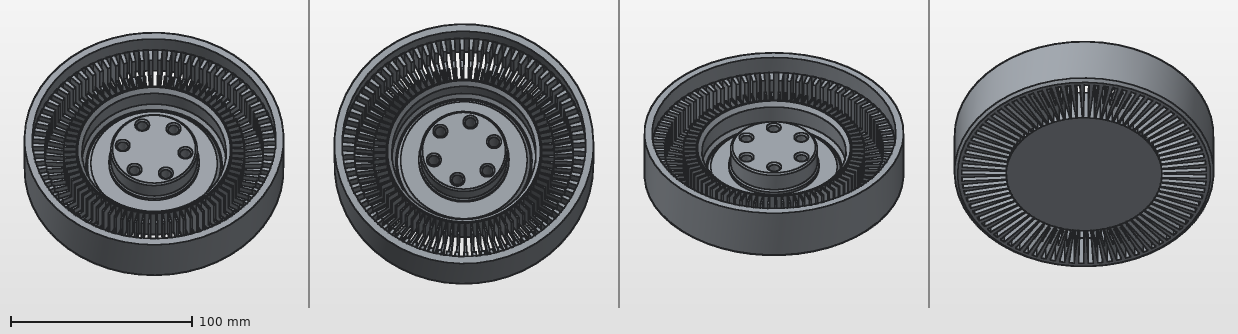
import cadquery as cq

outer_radius = 71.5
height = 31.0
bottom_chamfer = 1.7
rim_inner_radius = 67.2

web_top = 20.3
channel_floor = 5.5
channel_outer_radius = 60.3
channel_inner_radius = 49.9
slot_count = 80
slot_width = 2.7
slot_inner_radius = 42.9
slot_outer_radius = 67.5

ring_edge_radius = 42.2
recess_radius = 39.8
recess_top_chamfer = ring_edge_radius - recess_radius
groove_outer_radius = 37.6
recess_foot_chamfer = recess_radius - groove_outer_radius
groove_floor = channel_floor

plate_foot_radius = 36.8
plate_radius = 34.9
plate_bevel = plate_foot_radius - plate_radius
plate_top = groove_floor + plate_bevel

boss_radius = 23.9
boss_top = 21.0
boss_chamfer = 1.0
collar_radius = 24.9
collar_bevel = collar_radius - boss_radius
collar_height = 2.7

hole_count = 6
hole_circle_radius = 17.5
hole_radius = 3.0
hole_chamfer = 1.0
hole_depth = 14.3


def make_body():
    """Revolve the wheel section, given as (radius, height) points, about Z."""
    collar_top = plate_top + collar_height
    section = [
        (0, 0),
        (outer_radius - bottom_chamfer, 0),
        (outer_radius, bottom_chamfer),
        (outer_radius, height),
        (rim_inner_radius, height),
        (rim_inner_radius, web_top),
        (channel_outer_radius, web_top),
        (channel_outer_radius, channel_floor),
        (channel_inner_radius, channel_floor),
        (channel_inner_radius, web_top),
        (ring_edge_radius, web_top),
        (recess_radius, web_top - recess_top_chamfer),
        (recess_radius, groove_floor + recess_foot_chamfer),
        (groove_outer_radius, groove_floor),
        (plate_foot_radius, groove_floor),
        (plate_radius, plate_top),
        (collar_radius, plate_top),
        (collar_radius, collar_top - collar_bevel),
        (boss_radius, collar_top),
        (boss_radius, boss_top - boss_chamfer),
        (boss_radius - boss_chamfer, boss_top),
        (0, boss_top),
    ]
    return cq.Workplane("XZ").polyline(section).close().revolve(360, (0, 0), (0, 1))


def make_slots():
    """Radial slots through the full thickness of the web, biting slightly into the rim wall."""
    slot_length = slot_outer_radius - slot_inner_radius
    slot_middle_radius = slot_inner_radius + slot_length / 2
    return (
        cq.Workplane("XY")
        .polarArray(slot_middle_radius, 0, 360, slot_count)
        .rect(slot_length, slot_width)
        .extrude(web_top)
    )


def make_bolt_holes():
    """Blind holes with a countersunk mouth at the top of the boss."""
    hole_floor = boss_top - hole_depth
    section = [
        (0, hole_floor),
        (hole_radius, hole_floor),
        (hole_radius, boss_top - hole_chamfer),
        (hole_radius + hole_chamfer, boss_top),
        (0, boss_top),
    ]
    hole = cq.Workplane("XZ").polyline(section).close().revolve(360, (0, 0), (0, 1)).val()
    return (
        cq.Workplane("XY")
        .polarArray(hole_circle_radius, 0, 360, hole_count)
        .eachpoint(lambda place: hole.moved(place), combine=False)
    )


result = make_body().cut(make_slots()).cut(make_bolt_holes())